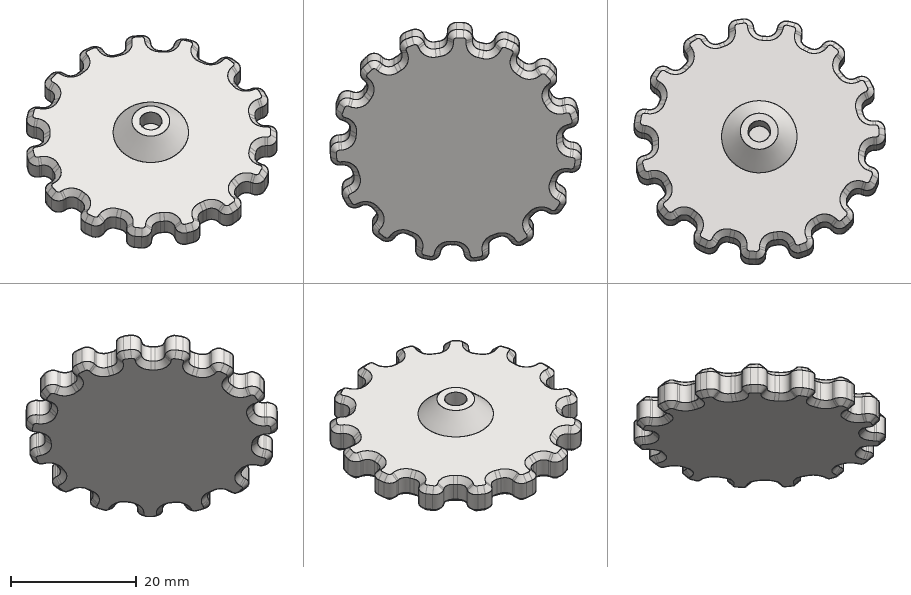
import cadquery as cq
import math

tooth_count = 15
overall_width = 39.92
root_radius = 17.0
tooth_width = 4
tooth_fillet = 1.48
plate_thickness = 5.0
edge_chamfer = 1.0

side_tooth_tilt = math.radians(360 / tooth_count / 4)
corner_offset = tooth_width / 2 - tooth_fillet
corner_reach = (
    overall_width / 2 - tooth_fillet - corner_offset * math.sin(side_tooth_tilt)
) / math.cos(side_tooth_tilt)
tip_radius = tooth_fillet + math.hypot(corner_reach, corner_offset)

hub_base_diameter = 11.98
hub_height = 3.0
hub_top_diameter = hub_base_diameter - 2 * hub_height
bore_diameter = 3.5
bore_depth = hub_height


def toothed_plate():
    """Flat wheel with straight-sided teeth, the first one pointing along +Y."""
    teeth = (
        cq.Workplane("XY")
        .polarArray(tip_radius / 2, 90, 360, tooth_count)
        .rect(tip_radius + tooth_width, tooth_width)
        .extrude(plate_thickness, combine=False)
    )
    tip_cylinder = cq.Workplane("XY").circle(tip_radius).extrude(plate_thickness)
    root_disc = cq.Workplane("XY").circle(root_radius).extrude(plate_thickness)
    plate = root_disc.union(teeth.intersect(tip_cylinder))
    plate = plate.edges("|Z").fillet(tooth_fillet)
    return plate.faces("<Z or >Z").chamfer(edge_chamfer)


def hub():
    """Cone frustum standing on top of the plate."""
    return (
        cq.Workplane("XY", origin=(0, 0, plate_thickness))
        .circle(hub_base_diameter / 2)
        .workplane(offset=hub_height)
        .circle(hub_top_diameter / 2)
        .loft()
    )


def bore():
    """Blind hole sunk from the hub's top face."""
    top = plate_thickness + hub_height
    return cq.Workplane("XY", origin=(0, 0, top)).circle(bore_diameter / 2).extrude(-bore_depth)


result = toothed_plate().union(hub()).cut(bore())